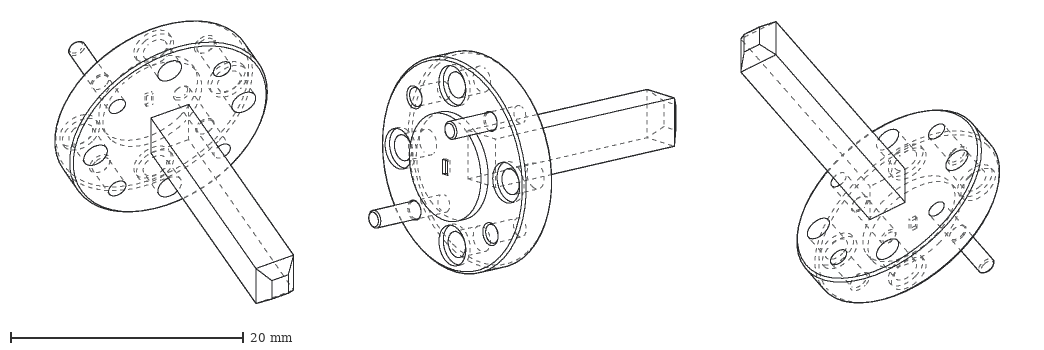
import cadquery as cq
import math

PIN_TIP_X = 0.0
BOSS_FRONT_X = 3.8
FLANGE_FRONT_X = 4.62
FLANGE_BACK_X = 7.95
TAPER_START_X = 28.25
BAR_END_X = 29.27

FLANGE_DIAMETER = 19.05
FLANGE_CHAMFER = 0.23
BOSS_DIAMETER = 9.5

BAR_WIDTH_Y = 3.63
BAR_HEIGHT_Z = 4.33
TAPER_RUN = BAR_END_X - TAPER_START_X

SLOT_WIDTH_Y = 0.65
SLOT_HEIGHT_Z = 1.3
SLOT_DEPTH = 0.3

HOLE_CIRCLE_RADIUS = 7.15
BOLT_ANGLES = [0, 90, 180, 270]
OPEN_DOWEL_ANGLES = [45, 225]
PIN_ANGLES = [135, 315]
BOLT_HOLE_DIAMETER = 2.28
COUNTERBORE_DIAMETER = 3.57
COUNTERBORE_DEPTH = 0.5
DOWEL_HOLE_DIAMETER = 1.67
DOWEL_HOLE_CHAMFER = 0.18

PIN_DIAMETER = 1.58
PIN_CHAMFER = 0.15
PIN_HOLE_CHAMFER = 0.1


def circle_position(angle):
    """Y and Z of a point on the hole circle, with the angle measured from +Y."""
    radians = math.radians(angle)
    return HOLE_CIRCLE_RADIUS * math.cos(radians), HOLE_CIRCLE_RADIUS * math.sin(radians)


def cylinder_x(diameter, start_x, end_x, center=(0, 0)):
    """Cylinder along X between two X positions, centred at the given Y and Z."""
    return (
        cq.Workplane("YZ", origin=(start_x, 0, 0))
        .center(*center)
        .circle(diameter / 2)
        .extrude(end_x - start_x)
    )


def block_x(width_y, height_z, start_x, end_x):
    """Rectangular block along X, centred on the axis."""
    return cq.Workplane("YZ", origin=(start_x, 0, 0)).rect(width_y, height_z).extrude(end_x - start_x)


def counterbored_hole(angle):
    """Bolt hole through the flange with a counterbore in the front face."""
    center = circle_position(angle)
    hole = cylinder_x(BOLT_HOLE_DIAMETER, FLANGE_FRONT_X, FLANGE_BACK_X, center)
    bore = cylinder_x(COUNTERBORE_DIAMETER, FLANGE_FRONT_X, FLANGE_FRONT_X + COUNTERBORE_DEPTH, center)
    return hole.union(bore)


def chamfered_hole(angle, diameter, chamfer):
    """Hole through the flange, widened by a 45 degree chamfer at the front face."""
    y, z = circle_position(angle)
    radius = diameter / 2
    hole = cylinder_x(diameter, FLANGE_FRONT_X, FLANGE_BACK_X, (y, z))
    countersink = cq.Solid.makeCone(
        radius + chamfer, radius, chamfer, cq.Vector(FLANGE_FRONT_X, y, z), cq.Vector(1, 0, 0)
    )
    return hole.union(cq.Workplane(countersink))


def make_bar():
    """Rectangular bar whose four sides slope inward at 45 degrees at the tip."""
    bar = block_x(BAR_WIDTH_Y, BAR_HEIGHT_Z, FLANGE_BACK_X, BAR_END_X)
    return bar.faces(">X").chamfer(TAPER_RUN)


def make_flange():
    """Flange, boss and bar in one piece, with every hole and the slot cut out."""
    disc = cylinder_x(FLANGE_DIAMETER, FLANGE_FRONT_X, FLANGE_BACK_X)
    body = disc.edges("%CIRCLE").chamfer(FLANGE_CHAMFER)
    body = body.union(cylinder_x(BOSS_DIAMETER, BOSS_FRONT_X, FLANGE_FRONT_X))
    body = body.union(make_bar())
    for angle in BOLT_ANGLES:
        body = body.cut(counterbored_hole(angle))
    for angle in OPEN_DOWEL_ANGLES:
        body = body.cut(chamfered_hole(angle, DOWEL_HOLE_DIAMETER, DOWEL_HOLE_CHAMFER))
    for angle in PIN_ANGLES:
        body = body.cut(chamfered_hole(angle, PIN_DIAMETER, PIN_HOLE_CHAMFER))
    return body.cut(block_x(SLOT_WIDTH_Y, SLOT_HEIGHT_Z, BOSS_FRONT_X, BOSS_FRONT_X + SLOT_DEPTH))


def make_pin(angle):
    """Dowel pin filling its hole, with a chamfered tip."""
    pin = cylinder_x(PIN_DIAMETER, PIN_TIP_X, FLANGE_BACK_X, circle_position(angle))
    return pin.faces("<X").chamfer(PIN_CHAMFER)


flange = make_flange()
pins = [make_pin(angle).val() for angle in PIN_ANGLES]

result = cq.Compound.makeCompound([flange.val(), *pins])